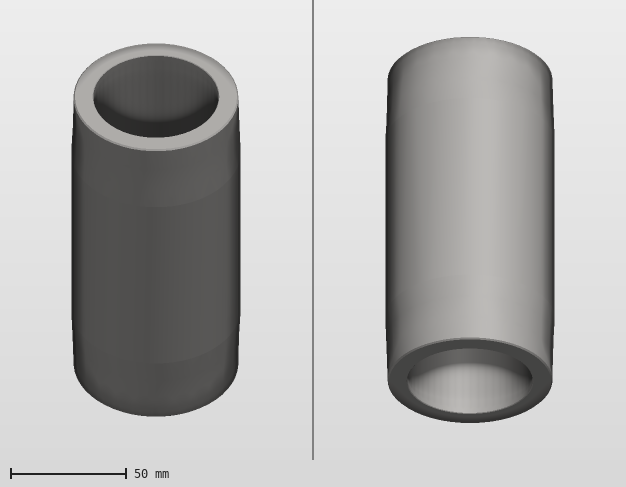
import cadquery as cq

length = 152.4
outer_diameter = 73.2
bore_diameter = 54.1
end_diameter = 71.2
taper_length = 31.7
outer_chamfer = 0.6
bore_chamfer = 0.3

half_length = length / 2
outer_radius = outer_diameter / 2
bore_radius = bore_diameter / 2
end_radius = end_diameter / 2
taper_start = half_length - taper_length

upper_wall = [
    (outer_radius, taper_start),
    (end_radius, half_length - outer_chamfer),
    (end_radius - outer_chamfer, half_length),
    (bore_radius + bore_chamfer, half_length),
    (bore_radius, half_length - bore_chamfer),
]

lower_wall = [(radius, -height) for radius, height in reversed(upper_wall)]

result = (
    cq.Workplane("XZ")
    .polyline(upper_wall + lower_wall)
    .close()
    .revolve(360, (0, 0, 0), (0, 1, 0))
)